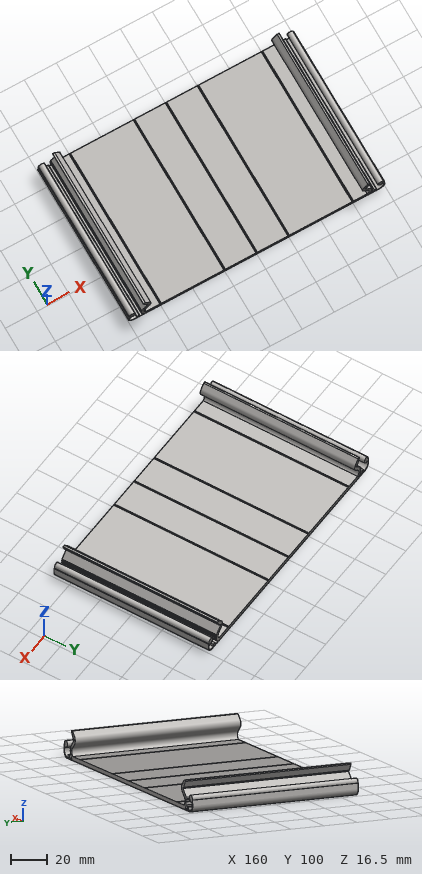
import cadquery as cq
import math

width = 160.0
length = 100.0
height = 16.5
half_width = width / 2

floor_thickness = 2.4
groove_half_width = 0.5
groove_depth = 0.2
groove_positions = [-60.0, -20.0, 0, 20.0, 60.0]

lip_thickness = 0.6
hook_radius = 3.8
hook_top = 7.2
hook_lean = 0.2
bulb_radius = 1.9
bulb_x = 2.4
bulb_z = 7.7

arm_foot_x = 9.5
arm_foot_top = 3.0
arm_outer_x = 8.2
arm_inner_x = 9.8
arm_bow_z = 5.1
arm_root_x = 11.0
knee_z = 7.4
inner_knee_x = 11.0

jaw_radius = 3.4
recess_x = 12.2
recess_top = 11.8
barb_x = 11.2
barb_z = 12.3
tip_x = 9.3
tip_flat = 1.3
tip_edge_height = 0.6

tooth_depth = 0.5
tooth_height = 0.3
tooth_positions = [5.0, 6.2]

rib_left_x = 5.1
rib_top_right_x = 6.5
rib_base_right_x = 7.2
rib_height = 2.4


def extrude_profile(profile):
    """Extrude an XZ profile over the full length, centred on Y."""
    return profile.extrude(length / 2, both=True)


def profile_at_edge():
    """Sketch plane whose origin is the lower left edge of the part."""
    return cq.Workplane("XZ", origin=(-half_width, 0, 0))


def floor_plate():
    """Floor plate with shallow V grooves along its upper face."""
    left = -half_width + arm_foot_x
    plate = cq.Workplane("XZ").moveTo(left, 0).lineTo(-left, 0)
    plate = plate.lineTo(-left, floor_thickness).lineTo(left, floor_thickness).close()
    plate = extrude_profile(plate)
    for x in groove_positions:
        groove = cq.Workplane("XZ").moveTo(x - groove_half_width, floor_thickness)
        groove = groove.lineTo(x, floor_thickness - groove_depth)
        groove = groove.lineTo(x + groove_half_width, floor_thickness).close()
        plate = plate.cut(extrude_profile(groove))
    return plate


def hook():
    """Thin lip that curls up from the floor and ends in a round bulb."""
    bulb_bottom = bulb_z - bulb_radius
    inner_radius = hook_radius - lip_thickness
    inner_rise = bulb_bottom - hook_radius
    inner_top_x = hook_radius - math.sqrt(inner_radius**2 - inner_rise**2)
    outer_mid = hook_radius * (1 - math.sqrt(0.5))
    lip = (
        profile_at_edge()
        .moveTo(arm_foot_x, 0)
        .lineTo(hook_radius, 0)
        .threePointArc((outer_mid, outer_mid), (0, hook_radius))
        .lineTo(hook_lean, hook_top)
        .lineTo(bulb_x, hook_top)
        .lineTo(bulb_x, bulb_bottom)
        .lineTo(inner_top_x, bulb_bottom)
        .threePointArc((lip_thickness, hook_radius), (hook_radius, lip_thickness))
        .lineTo(arm_foot_x, lip_thickness)
        .close()
    )
    bulb = profile_at_edge().center(bulb_x, bulb_z).circle(bulb_radius)
    return extrude_profile(lip).union(extrude_profile(bulb))


def clip_arm():
    """Spring arm bowed on its inner face, with a rounded jaw and a flared, barbed tip."""
    tip_inner_x = tip_x + tip_flat
    jaw_z = (height + tip_inner_x + knee_z - inner_knee_x) / 2
    jaw_corner_x = inner_knee_x + jaw_z - knee_z
    jaw_inner_x = jaw_corner_x - jaw_radius * (math.sqrt(2) - 1)
    jaw_half_height = jaw_radius * math.sqrt(0.5)
    jaw_tangent_x = jaw_corner_x - jaw_half_height
    recess_z = knee_z + recess_x - arm_outer_x
    arm = (
        profile_at_edge()
        .moveTo(arm_foot_x, 0)
        .lineTo(arm_foot_x, lip_thickness)
        .lineTo(arm_outer_x, arm_foot_top)
        .lineTo(arm_outer_x, knee_z)
        .lineTo(recess_x, recess_z)
        .lineTo(recess_x, recess_top)
        .lineTo(barb_x, barb_z)
        .lineTo(tip_x, height - tip_edge_height)
        .lineTo(tip_x, height)
        .lineTo(tip_inner_x, height)
        .lineTo(jaw_tangent_x, jaw_z + jaw_half_height)
        .threePointArc((jaw_inner_x, jaw_z), (jaw_tangent_x, jaw_z - jaw_half_height))
        .lineTo(inner_knee_x, knee_z)
        .threePointArc((arm_inner_x, arm_bow_z), (arm_root_x, floor_thickness))
        .lineTo(arm_root_x, 0)
        .close()
    )
    return extrude_profile(arm)


def arm_teeth():
    """Small square teeth along the outer face of the clip arm, half sunk into it."""
    teeth = profile_at_edge().pushPoints([(arm_outer_x, z) for z in tooth_positions])
    return extrude_profile(teeth.rect(2 * tooth_depth, tooth_height))


def locating_rib():
    """Low rib standing on the lip, with a sloped inner flank."""
    rib = profile_at_edge().moveTo(rib_left_x, 0).lineTo(rib_base_right_x, 0)
    rib = rib.lineTo(rib_base_right_x, lip_thickness).lineTo(rib_top_right_x, rib_height)
    rib = rib.lineTo(rib_left_x, rib_height).close()
    return extrude_profile(rib)


left_edge = hook().union(clip_arm()).union(arm_teeth()).union(locating_rib())
right_edge = left_edge.mirror("YZ")
result = floor_plate().union(left_edge).union(right_edge)